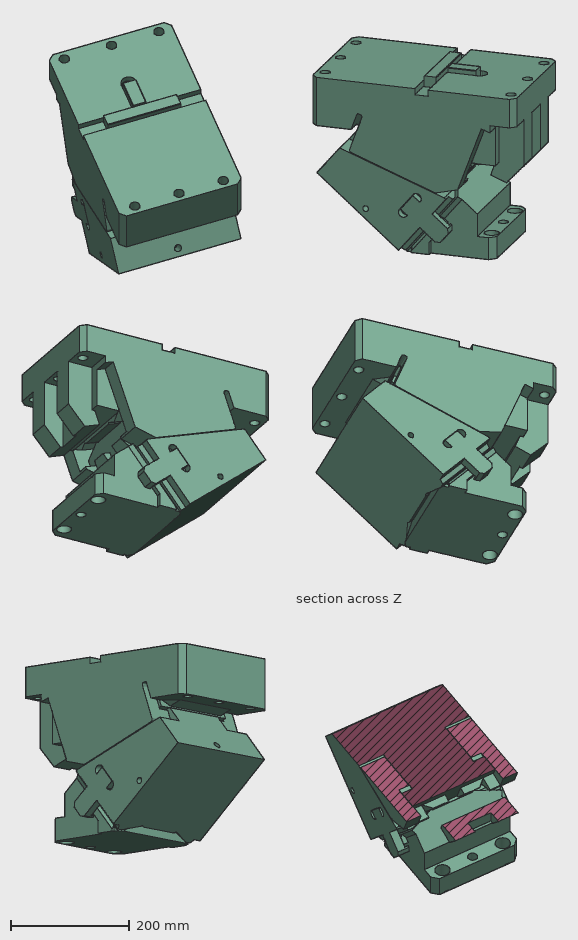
import cadquery as cq
import math

LENGTH = 365.0
WIDTH = 220.0
HALF_WIDTH = WIDTH / 2
TOP_Z = 300.8
KEY_TOP_Z = 309.0
REACH = 438.0

DRIVE_ANGLE = 20.0
RAMP_ANGLE = 40.0

RIDGE_Y = 42.0
FLAT_Y = 39.0
RIDGE_DROP = 2.2

PLATE_CORNER_CHAMFER = 10.0
LEFT_PLATE_Z = 249.5
RIGHT_FLANGE_Z = 214.3
HOOK_BACK_X = 45.0
WING_LEFT_V = 139.8
WING_RIGHT_V = 339.0
WING_BOTTOM_U = 62.5
WING_TOE = (142.5, 118.0)
WING_HEEL = (102.5, 128.0)
WING_NOTCH_TOP = (60.2, 242.0)
WING_NOTCH_Z = 237.0
WING_FILLET = 4.5
SLOT_RIGHT_V = 349.0
SLOT_TOP_U = 133.5
SLOT_FILLET = 3.5

INNER_HALF_WIDTH = 81.5
BLOCK_BOTTOM_Z = 168.3
BLOCK_END_X = 116.8
DRIVE_EDGE_U = 107.3
DRIVE_RIDGE_U = 125.0
CONTACT_Y = 56.5
NECK_HALF_WIDTH = 61.0
LIP_TOP_U = 89.5
CAVITY_EDGE_U = 131.5
GUIDE_END_V = 344.0
RIB_BOTTOM_U = 92.5
RIB_HALF_WIDTH = 64.0
RIB_TOP_U = 116.8
RIB_END_V = 376.0

HOOK_HALF_WIDTH = 62.5
HOOK_OUTLINE = [(0, LEFT_PLATE_Z), (0, 168.3), (31.5, 133.2), (60.0, 143.8), (51.0, 168.3), (51.0, LEFT_PLATE_Z)]
HOOK_SLOT_HALF_WIDTH = 22.5
HOOK_SLOT_DEPTH = 36.5

PLATE_HOLE_D = 17.0
LEFT_HOLE_X = 15.5
LEFT_HOLE_PITCH = 85.0
RIGHT_HOLE_X = 350.0
RIGHT_HOLE_PITCH = 79.5
KEYWAY_START_X = 155.0
KEYWAY_END_X = 179.2
KEYWAY_Z = 289.8
KEY_CLEARANCE = 1.0
LONG_KEY_LENGTH = 131.5
SHORT_KEYWAY_WIDTH = 26.3
SHORT_KEYWAY_START_X = 87.5
SHORT_KEY_START_X = 104.0
KEY_CHAMFER = 1.0

BASE_LEFT_X = 44.5
BASE_RIGHT_X = 205.0
LEDGE_Z = 39.5
STEP_X = 76.0
STEP_Z = 79.5
BASE_TOP_R = 12.5
BASE_WIDTH = 170.5
BASE_HALF_WIDTH = BASE_WIDTH / 2
BASE_CORNER_CHAMFER = 11.0
FLARE_HALF_WIDTH = 89.5
FLARE_START_S = 145.0
RAMP_EDGE_S = 153.3
RAMP_RIDGE_S = 172.5
SHOULDER_HALF_WIDTH = 93.8
SHOULDER_X = 159.0
SHOULDER_END_X = 191.3
SHOULDER_LOW_S = 136.0
SHOULDER_HIGH_S = 148.5
SHOULDER_TOP_R = -37.0
TOE_Z = 6.5
LEDGE_HOLE_X = 58.8
LEDGE_HOLE_PITCH = 60.0
LEDGE_BIG_HOLE_D = 25.5
LEDGE_SMALL_HOLE_D = 16.8

SLIDE_CHEEK_S = 164.5
SLIDE_LOW_S = 156.2
SLIDE_LOW_Y = 91.2
SLIDE_END_S = 355.5
SLIDE_BOTTOM_R = -128.0
CHEEK_TOP_U = 61.0
CHEEK_TOP_R = 3.5
CHEEK_INNER_Y = 95.3
CENTRE_LEFT_V = 164.2
HEAD_BOTTOM_U = 92.5
NOSE_LEFT_V = 149.5
NOSE_HALF_WIDTH = 45.3
NOSE_SLOT_HALF_WIDTH = 15.5
CLIP_LOW_R = -69.0
CLIP_HIGH_R = -34.3
CLIP_TIP_S = 122.0
CLIP_FOOT_S = 131.5
CLIP_CORNER = 6.5
CLIP_FOOT_Y = 88.5
CLIP_POCKET_S = 202.2
CLIP_POCKET_RADIUS = 8.5
CLIP_POCKET_LENGTH = 54.0
CLIP_END_GAP = 0.7
SIDE_HOLE_D = 10.2
SIDE_HOLE_X = 267.0
SIDE_HOLE_Z = 75.5
SIDE_HOLE_DEPTH = 22.0
END_HOLE_D = 12.0
END_HOLE_R = -113.0
END_HOLE_DEPTH = 29.2

SIDES = (-1, 1)


def turned(angle, along, across):
    """XZ point of a place given in a frame whose first axis rises at the angle."""
    a = math.radians(angle)
    return (along * math.cos(a) - across * math.sin(a), along * math.sin(a) + across * math.cos(a))


def drive_point(v, u):
    return turned(DRIVE_ANGLE, v, u)


def ramp_point(s, r):
    return turned(RAMP_ANGLE, s, r)


def side_prism(points, y_start, y_end):
    """Prism along Y over an XZ outline."""
    return cq.Workplane("XZ", origin=(0, y_start, 0)).polyline(points).close().extrude(y_start - y_end)


def centred_prism(points, half_width):
    return side_prism(points, -half_width, half_width)


def side_pair(points, y_inner, y_outer):
    """The same prism on both sides of the middle plane."""
    prism = side_prism(points, y_inner, y_outer)
    return prism.union(prism.mirror("XZ"))


def rectangle(to_xz, low, high):
    """Corners of a rectangle that is upright in a slanted frame."""
    return [to_xz(*p) for p in (low, (high[0], low[1]), high, (low[0], high[1]))]


def mirrored(half):
    """Closed section from its +Y half, listed from the outside to the middle."""
    return half + [(-y, h) for y, h in reversed(half)]


def drive_section(section, v_start, v_end):
    """Prism along the drive slope over a (y, u) section."""
    x, z = drive_point(v_start, 0)
    nx, nz = drive_point(1, 0)
    plane = cq.Plane(origin=(x, 0, z), xDir=(0, 1, 0), normal=(nx, 0, nz))
    return cq.Workplane(plane).polyline(section).close().extrude(v_end - v_start)


def ramp_section(section):
    """Long prism down the base slide face over a (y, s) section."""
    x, z = ramp_point(0, REACH)
    nx, nz = ramp_point(0, -1)
    plane = cq.Plane(origin=(x, 0, z), xDir=(0, 1, 0), normal=(nx, 0, nz))
    return cq.Workplane(plane).polyline(section).close().extrude(2 * REACH)


def box(x_range, width, z_range):
    length = x_range[1] - x_range[0]
    height = z_range[1] - z_range[0]
    return cq.Workplane(origin=(x_range[0], 0, z_range[0])).box(length, width, height, (False, True, False))


def drill_down(body, places, diameter, z_top, depth):
    """Vertical holes at (x, y) places."""
    cutters = cq.Workplane(origin=(0, 0, z_top)).pushPoints(places).circle(diameter / 2).extrude(-depth)
    return body.cut(cutters)


def guide_contact_u():
    """Height of the V guide at the outer limit of its contact."""
    slope = (DRIVE_RIDGE_U - DRIVE_EDGE_U) / (INNER_HALF_WIDTH - RIDGE_Y)
    return DRIVE_RIDGE_U - slope * (CONTACT_Y - RIDGE_Y)


DRIVE_GUIDE = [
    (CONTACT_Y, guide_contact_u()),
    (RIDGE_Y, DRIVE_RIDGE_U),
    (FLAT_Y, DRIVE_RIDGE_U - RIDGE_DROP),
]
CAVITY_ROOF = [(INNER_HALF_WIDTH, CAVITY_EDGE_U)] + DRIVE_GUIDE
RAMP_GUIDE = [(RIDGE_Y, RAMP_RIDGE_S), (FLAT_Y, RAMP_RIDGE_S - RIDGE_DROP)]


def slot_mouth():
    """Where the right slot wall meets the underside of the right flange."""
    a = math.radians(DRIVE_ANGLE)
    return ((SLOT_RIGHT_V - RIGHT_FLANGE_Z * math.sin(a)) / math.cos(a), RIGHT_FLANGE_Z)


def plate_and_wings():
    outline = [
        (0, TOP_Z),
        (0, LEFT_PLATE_Z),
        (HOOK_BACK_X, LEFT_PLATE_Z),
        (HOOK_BACK_X, WING_NOTCH_Z),
        WING_NOTCH_TOP,
        WING_HEEL,
        WING_TOE,
        drive_point(WING_RIGHT_V, WING_BOTTOM_U),
        drive_point(WING_RIGHT_V, SLOT_TOP_U),
        drive_point(SLOT_RIGHT_V, SLOT_TOP_U),
        slot_mouth(),
        (LENGTH, RIGHT_FLANGE_Z),
        (LENGTH, TOP_Z),
    ]
    body = centred_prism(outline, HALF_WIDTH)
    corners = [
        (drive_point(WING_RIGHT_V, WING_BOTTOM_U), WING_FILLET),
        (drive_point(WING_RIGHT_V, SLOT_TOP_U), SLOT_FILLET),
        (drive_point(SLOT_RIGHT_V, SLOT_TOP_U), SLOT_FILLET),
    ]
    for (x, z), radius in corners:
        body = body.edges(cq.selectors.NearestToPointSelector((x, 0, z))).fillet(radius)
    return body.edges("|Z and (<X or >X)").chamfer(PLATE_CORNER_CHAMFER)


def inner_block():
    outline = [
        (HOOK_BACK_X, LEFT_PLATE_Z),
        (HOOK_BACK_X, BLOCK_BOTTOM_Z),
        (BLOCK_END_X, BLOCK_BOTTOM_Z),
        (BLOCK_END_X, LEFT_PLATE_Z),
    ]
    return centred_prism(outline, INNER_HALF_WIDTH)


def hook():
    slot = [(0, 0), (HOOK_SLOT_DEPTH, 0), (HOOK_SLOT_DEPTH, LEFT_PLATE_Z), (0, LEFT_PLATE_Z)]
    body = centred_prism(HOOK_OUTLINE, HOOK_HALF_WIDTH)
    return body.cut(centred_prism(slot, HOOK_SLOT_HALF_WIDTH))


def flange_rib():
    """Rib with sloped sides under the right flange, square to the slot wall."""
    section = mirrored([(HALF_WIDTH, RIB_TOP_U), (RIB_HALF_WIDTH, RIB_BOTTOM_U)])
    return drive_section(section, SLOT_RIGHT_V, RIB_END_V)


def guide_end():
    """End of the cavity roof, standing out into the slot between the wings."""
    section = [(INNER_HALF_WIDTH, SLOT_TOP_U)] + CAVITY_ROOF
    return drive_section(mirrored(section), WING_RIGHT_V, GUIDE_END_V)


def add_keys(body):
    long_way = box((KEYWAY_START_X, KEYWAY_END_X), 2 * HALF_WIDTH, (KEYWAY_Z, TOP_Z))
    end_radius = SHORT_KEYWAY_WIDTH / 2
    end_x = SHORT_KEYWAY_START_X + end_radius
    short_way = box((end_x, KEYWAY_START_X), SHORT_KEYWAY_WIDTH, (KEYWAY_Z, TOP_Z))
    way_end = cq.Workplane(origin=(end_x, 0, KEYWAY_Z))
    way_end = way_end.circle(end_radius).extrude(TOP_Z - KEYWAY_Z)
    body = body.cut(long_way).cut(short_way).cut(way_end)

    key_z = (KEYWAY_Z, KEY_TOP_Z)
    long_key_x = (KEYWAY_START_X + KEY_CLEARANCE, KEYWAY_END_X - KEY_CLEARANCE)
    short_key_x = (SHORT_KEY_START_X, KEYWAY_START_X - KEY_CLEARANCE)
    long_key = box(long_key_x, LONG_KEY_LENGTH, key_z).edges(">Z and |Y").chamfer(KEY_CHAMFER)
    short_key = box(short_key_x, SHORT_KEYWAY_WIDTH - 2 * KEY_CLEARANCE, key_z)
    short_key = short_key.edges(">Z and |X").chamfer(KEY_CHAMFER)
    return body.union(long_key).union(short_key)


def make_upper():
    opening = [(NECK_HALF_WIDTH, 0), (NECK_HALF_WIDTH, LIP_TOP_U), (INNER_HALF_WIDTH, LIP_TOP_U)]
    cavity = drive_section(mirrored(opening + CAVITY_ROOF), WING_LEFT_V, WING_RIGHT_V)
    body = plate_and_wings().union(inner_block()).cut(cavity)
    body = body.union(hook()).union(flange_rib()).union(guide_end())
    left_holes = [(LEFT_HOLE_X, i * LEFT_HOLE_PITCH) for i in (-1, 0, 1)]
    right_holes = [(RIGHT_HOLE_X, i * RIGHT_HOLE_PITCH) for i in (-1, 0, 1)]
    body = drill_down(body, left_holes + right_holes, PLATE_HOLE_D, TOP_Z, TOP_Z)
    return add_keys(body)


def base_block():
    x_slope, z_slope = ramp_point(RAMP_RIDGE_S, BASE_TOP_R)
    outline = [
        (BASE_LEFT_X, 0),
        (BASE_LEFT_X, LEDGE_Z),
        (STEP_X, LEDGE_Z),
        (STEP_X, STEP_Z),
        (x_slope, z_slope),
        (BASE_RIGHT_X, z_slope),
        (BASE_RIGHT_X, 0),
    ]
    section = [
        (BASE_HALF_WIDTH, -REACH),
        (BASE_HALF_WIDTH, FLARE_START_S),
        (FLARE_HALF_WIDTH, RAMP_EDGE_S),
    ]
    return centred_prism(outline, HALF_WIDTH).intersect(ramp_section(mirrored(section + RAMP_GUIDE)))


def base_shoulder():
    """Wider strip beside the lower slide face, with a foot that reaches the ground."""
    foot = [(SHOULDER_X, 0), (SHOULDER_END_X, 0), (SHOULDER_END_X, LEDGE_Z), (SHOULDER_X, LEDGE_Z)]
    strip = rectangle(ramp_point, (SHOULDER_LOW_S, -REACH), (RAMP_EDGE_S, SHOULDER_TOP_R))
    ground = [(0, 0), (SHOULDER_END_X, 0), (SHOULDER_END_X, STEP_Z), (0, STEP_Z)]
    section = [
        (SHOULDER_HALF_WIDTH, -REACH),
        (SHOULDER_HALF_WIDTH, SHOULDER_HIGH_S),
        (FLARE_HALF_WIDTH, RAMP_EDGE_S),
    ]
    body = centred_prism(strip, SHOULDER_HALF_WIDTH).union(centred_prism(foot, SHOULDER_HALF_WIDTH))
    body = body.intersect(centred_prism(ground, SHOULDER_HALF_WIDTH))
    return body.intersect(ramp_section(mirrored(section)))


def base_toe():
    """Low plate in front of the shoulder, ending under the slide."""
    plate = [(SHOULDER_X, 0), (BASE_RIGHT_X, 0), (BASE_RIGHT_X, TOE_Z), (SHOULDER_X, TOE_Z)]
    band = rectangle(ramp_point, (0, -REACH), (RAMP_EDGE_S, REACH))
    return centred_prism(plate, FLARE_HALF_WIDTH).intersect(centred_prism(band, FLARE_HALF_WIDTH))


def make_base():
    body = base_block().edges("|Z and <X").chamfer(BASE_CORNER_CHAMFER)
    body = body.union(base_shoulder()).union(base_toe())
    big_holes = [(LEDGE_HOLE_X, side * LEDGE_HOLE_PITCH) for side in SIDES]
    body = drill_down(body, big_holes, LEDGE_BIG_HOLE_D, LEDGE_Z, LEDGE_Z)
    return drill_down(body, [(LEDGE_HOLE_X, 0)], LEDGE_SMALL_HOLE_D, LEDGE_Z, LEDGE_Z)


def slide_cheeks():
    """Full-width wedge between the base slide face and the drive slope."""
    ramp_band = rectangle(ramp_point, (0, SLIDE_BOTTOM_R), (SLIDE_END_S, CHEEK_TOP_R))
    below_drive = rectangle(drive_point, (-REACH, -REACH), (REACH, CHEEK_TOP_U))
    return centred_prism(ramp_band, HALF_WIDTH).intersect(centred_prism(below_drive, HALF_WIDTH))


def slide_centre():
    """T-shaped rail between the wings: a neck cut off by the end face, and a head with the V guide."""
    neck_side = rectangle(drive_point, (CENTRE_LEFT_V, 0), (REACH, HEAD_BOTTOM_U))
    end_band = rectangle(ramp_point, (0, SLIDE_BOTTOM_R), (SLIDE_END_S, REACH))
    neck = centred_prism(neck_side, NECK_HALF_WIDTH).intersect(centred_prism(end_band, NECK_HALF_WIDTH))
    head = [(INNER_HALF_WIDTH, HEAD_BOTTOM_U), (INNER_HALF_WIDTH, DRIVE_EDGE_U)] + DRIVE_GUIDE
    return neck.union(drive_section(mirrored(head), CENTRE_LEFT_V, GUIDE_END_V))


def slide_nose():
    """Two prongs that narrow ahead of the neck, level with the base ridges."""
    plan = [
        (CENTRE_LEFT_V, NOSE_SLOT_HALF_WIDTH),
        (NOSE_LEFT_V, NOSE_SLOT_HALF_WIDTH),
        (NOSE_LEFT_V, NOSE_HALF_WIDTH),
        (CENTRE_LEFT_V, NECK_HALF_WIDTH),
    ]
    vx, vz = drive_point(1, 0)
    ux, uz = drive_point(0, 1)
    plan_plane = cq.Plane(origin=(0, 0, 0), xDir=(vx, 0, vz), normal=(ux, 0, uz))
    prong = cq.Workplane(plan_plane).polyline(plan).close().extrude(HEAD_BOTTOM_U)
    above_base = rectangle(ramp_point, (RAMP_RIDGE_S, -REACH), (REACH, REACH))
    prong = prong.intersect(centred_prism(above_base, HALF_WIDTH))
    return prong.union(prong.mirror("XZ"))


def slide_block():
    body = slide_cheeks().union(slide_centre()).union(slide_nose())
    ridge_slope = (RAMP_RIDGE_S - RAMP_EDGE_S) / (FLARE_HALF_WIDTH - RIDGE_Y)
    contact_y = RIDGE_Y + (RAMP_RIDGE_S - SLIDE_LOW_S) / ridge_slope
    under = [
        (HALF_WIDTH, 0),
        (HALF_WIDTH, SLIDE_CHEEK_S),
        (CHEEK_INNER_Y, SLIDE_CHEEK_S),
        (SLIDE_LOW_Y, SLIDE_LOW_S),
        (contact_y, SLIDE_LOW_S),
    ]
    return body.cut(ramp_section(mirrored(under + RAMP_GUIDE)))


def add_clips(body):
    """Pocket on each cheek, filled across its middle by a clip that hooks under the base flare."""
    centre = ramp_point(CLIP_POCKET_S, (CLIP_LOW_R + CLIP_HIGH_R) / 2)
    pocket = cq.Workplane("XZ", origin=(0, -CHEEK_INNER_Y, 0)).center(*centre)
    pocket = pocket.slot2D(CLIP_POCKET_LENGTH, 2 * CLIP_POCKET_RADIUS, 90 + RAMP_ANGLE)
    pocket = pocket.extrude(HALF_WIDTH - CHEEK_INNER_Y)
    body = body.cut(pocket).cut(pocket.mirror("XZ"))

    tip = [
        ramp_point(CLIP_TIP_S, CLIP_LOW_R + CLIP_CORNER),
        ramp_point(CLIP_TIP_S + CLIP_CORNER, CLIP_LOW_R),
    ]
    tip_top = [
        ramp_point(CLIP_TIP_S + CLIP_CORNER, CLIP_HIGH_R),
        ramp_point(CLIP_TIP_S, CLIP_HIGH_R - CLIP_CORNER),
    ]

    def clip_outline(s_end):
        return tip + [ramp_point(s_end, CLIP_LOW_R), ramp_point(s_end, CLIP_HIGH_R)] + tip_top

    leg_end_s = CLIP_POCKET_S + CLIP_POCKET_RADIUS - CLIP_END_GAP
    leg = side_pair(clip_outline(leg_end_s), CHEEK_INNER_Y, HALF_WIDTH)
    foot = side_pair(clip_outline(CLIP_FOOT_S), CLIP_FOOT_Y, HALF_WIDTH)
    return body.union(leg).union(foot)


def make_slide():
    body = add_clips(slide_block())
    side_hole = cq.Workplane("XZ", origin=(SIDE_HOLE_X, -HALF_WIDTH, SIDE_HOLE_Z))
    side_hole = side_hole.circle(SIDE_HOLE_D / 2).extrude(-SIDE_HOLE_DEPTH)
    body = body.cut(side_hole).cut(side_hole.mirror("XZ"))
    x, z = ramp_point(SLIDE_END_S, END_HOLE_R)
    nx, nz = ramp_point(-1, 0)
    end_plane = cq.Plane(origin=(x, 0, z), xDir=(0, 1, 0), normal=(nx, 0, nz))
    return body.cut(cq.Workplane(end_plane).circle(END_HOLE_D / 2).extrude(END_HOLE_DEPTH))


upper = make_upper()
base = make_base()
slide = make_slide()

result = cq.Compound.makeCompound([body.solids().val() for body in (upper, base, slide)])